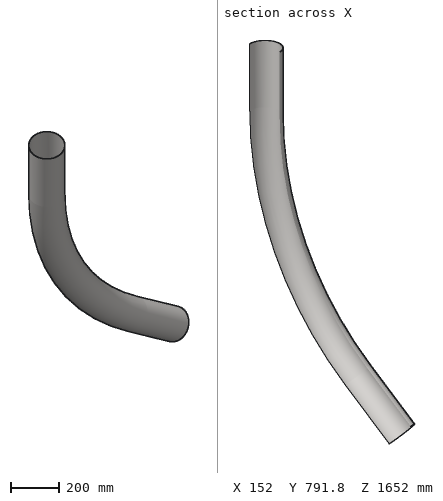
import cadquery as cq
import math

overall_height = 1652.0
outer_diameter = 152.0
inner_diameter = 147.0
straight_length = 304.0
bend_angle = math.radians(45)

sin_bend = math.sin(bend_angle)
cos_bend = math.cos(bend_angle)
lower_straight_height = straight_length * cos_bend
rim_drop = outer_diameter / 2 * sin_bend
bend_height = overall_height - straight_length - lower_straight_height - rim_drop
bend_radius = bend_height / sin_bend


def point_on_bend(angle):
    """Return (Y, Z) on the bend centreline, which starts at the origin heading down."""
    y = bend_radius * (1 - math.cos(angle))
    z = -bend_radius * math.sin(angle)
    return y, z


bend_end_y, bend_end_z = point_on_bend(bend_angle)
lower_end = (
    bend_end_y + straight_length * sin_bend,
    bend_end_z - lower_straight_height,
)
centreline = (
    cq.Workplane("YZ")
    .moveTo(0, straight_length)
    .lineTo(0, 0)
    .threePointArc(point_on_bend(bend_angle / 2), (bend_end_y, bend_end_z))
    .lineTo(*lower_end)
)

result = (
    cq.Workplane("XY")
    .workplane(offset=straight_length)
    .circle(outer_diameter / 2)
    .circle(inner_diameter / 2)
    .sweep(centreline)
)